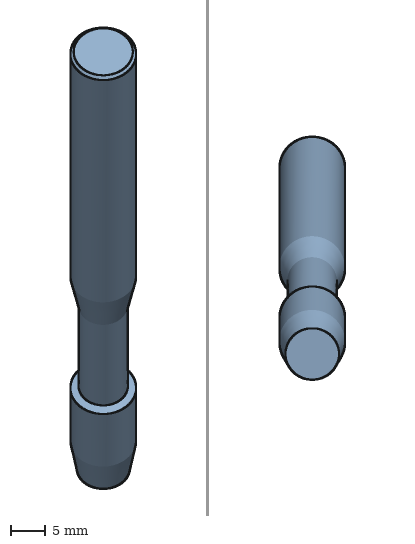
import cadquery as cq

OVERALL_LENGTH = 100.0
LEAD_TAPER_TOP = 6.5
HEAD_TOP = 19.7
NECK_TOP = 39.0
SHANK_BOTTOM = 46.0

SHANK_DIAMETER = 9.6
HEAD_DIAMETER = SHANK_DIAMETER
NECK_DIAMETER = 7.2
TIP_DIAMETER = 7.8

SHANK_CHAMFER = 0.5
HEAD_SHOULDER_DROP = 0.5


def revolve_about_axis(profile):
    """Turn a closed (radius, height) outline into a solid around Z."""
    return cq.Workplane("XZ").polyline(profile).close().revolve(360, (0, 0), (0, 1))


def make_head():
    """Working head: tapered lead, cylinder, and a sloping shoulder up to the neck."""
    return revolve_about_axis([
        (0, 0),
        (TIP_DIAMETER / 2, 0),
        (HEAD_DIAMETER / 2, LEAD_TAPER_TOP),
        (HEAD_DIAMETER / 2, HEAD_TOP - HEAD_SHOULDER_DROP),
        (NECK_DIAMETER / 2, HEAD_TOP),
        (0, HEAD_TOP),
    ])


def make_shank():
    """Slim neck standing on the head, flaring into the chamfered shank."""
    return revolve_about_axis([
        (0, HEAD_TOP),
        (NECK_DIAMETER / 2, HEAD_TOP),
        (NECK_DIAMETER / 2, NECK_TOP),
        (SHANK_DIAMETER / 2, SHANK_BOTTOM),
        (SHANK_DIAMETER / 2, OVERALL_LENGTH - SHANK_CHAMFER),
        (SHANK_DIAMETER / 2 - SHANK_CHAMFER, OVERALL_LENGTH),
        (0, OVERALL_LENGTH),
    ])


head = make_head()
shank = make_shank()

result = cq.Compound.makeCompound([head.val(), shank.val()])